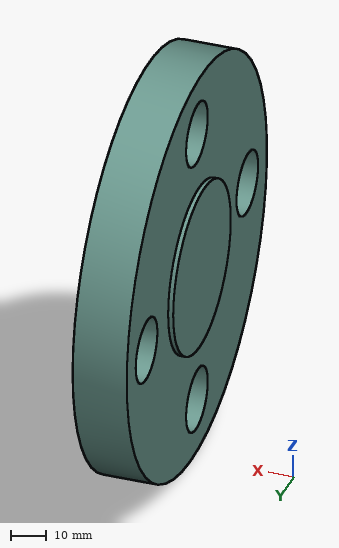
import cadquery as cq

flange_diameter = 123.8
flange_thickness = 16.0
raised_face_diameter = 50.8
raised_face_height = 1.5
bolt_circle_diameter = 88.9
bolt_hole_diameter = 19.1
bolt_hole_count = 4

flange = cq.Workplane("YZ").circle(flange_diameter / 2).extrude(flange_thickness)

raised_face = cq.Workplane("YZ").circle(raised_face_diameter / 2).extrude(-raised_face_height)

bolt_holes = (
    cq.Workplane("YZ")
    .polarArray(bolt_circle_diameter / 2, 0, 360, bolt_hole_count)
    .circle(bolt_hole_diameter / 2)
    .extrude(flange_thickness)
)

result = flange.union(raised_face).cut(bolt_holes)